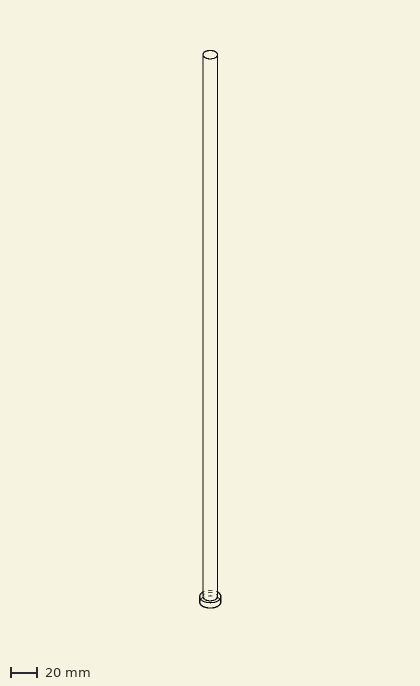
import cadquery as cq

TOTAL_LENGTH = 505.0
HEAD_DIAMETER = 16.0
HEAD_HEIGHT = 5.0
SHANK_DIAMETER = 11.0
SHANK_LENGTH = TOTAL_LENGTH - HEAD_HEIGHT


def make_head():
    """Flat disc with its underside on the XY plane."""
    return cq.Workplane("XY").circle(HEAD_DIAMETER / 2).extrude(HEAD_HEIGHT)


def add_shank(body):
    """Plain round shank rising from the top of the head."""
    return body.faces(">Z").workplane().circle(SHANK_DIAMETER / 2).extrude(SHANK_LENGTH)


result = add_shank(make_head())